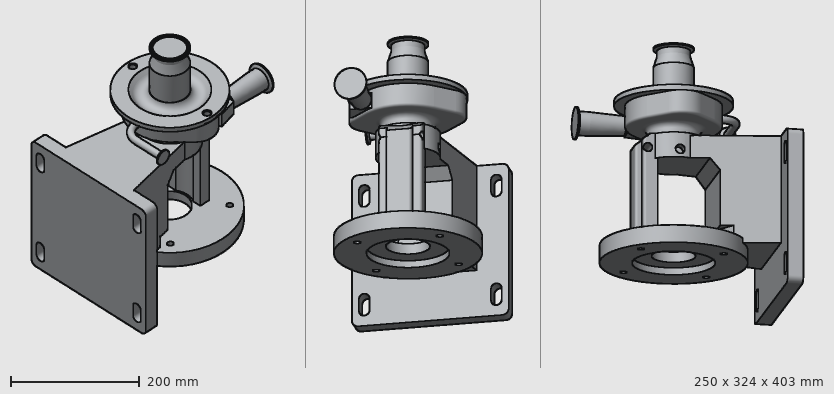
import cadquery as cq
import math

COS_45 = math.sqrt(0.5)


PLATE_SIZE = 250.0
PLATE_THICK = 25.0
PLATE_BACK_Y = -179.7
PLATE_FRONT_Y = PLATE_BACK_Y + PLATE_THICK
PLATE_CORNER_R = 10.0
SLOT_LENGTH = 36.0
SLOT_WIDTH = 17.0
SLOT_SPACING_X = 210.5
SLOT_SPACING_Z = 179.7

DISC_R = 115.3
DISC_Z = 56.0
DISC_TOP_Z = 84.2
DISC_BORE_R = 34.3
PILOT_R = 64.5
PILOT_DEPTH = 11.3
MOTOR_HOLE_R = 5.2
MOTOR_HOLE_OFFSET = 65.5

WEB_BOTTOM_Z = 77.0
WEB_WIDE_HALF = 74.0
WEB_SLOPE = 0.19
WEB_FACE_Y = -62.0
WEB_CHAMFER_Y = 15.7
WEB_CHAMFER_Z = 19.5
RELIEF_CORNER_Y = -83.0
RELIEF_TOP_Z = 104.8
RELIEF_ANGLE = 56.0

COLLAR_R = 50.5
COLLAR_Z = 213.5
COLLAR_TOP_Z = 253.5
COLLAR_HOLE_R = 7.3
COLLAR_HOLE_Z = 226.5
COLLAR_HOLE_DEPTH = 16.0

LEG_HALF_WIDTH = 34.5
LEG_FRONT_Y = 32.2
LEG_BACK_Y = 55.0
LEG_HOLLOW_R = 37.5
LEG_EDGE_R = 4.5
RIB_HALF_WIDTH = 20.0
RIB_BACK_Y = 65.3
LEG_SLOPE_START_Y = 44.5
LEG_SLOPE_END_Z = 237.8
LEG_HOLE_R = 7.0
LEG_HOLE_Y = 48.0
LEG_HOLE_Z = 231.0

CASING_Z = 272.5
CASING_R = 75.8
CASING_EDGE_R = 4.5
EAR_R = 35.5
FLANGE_R = 92.5
FLANGE_Z = 309.5
FLANGE_TOP_Z = 318.0
NECK_R = 42.0
NECK_FLARE_R = 9.0
EAR_HOLE_X = 81.0
EAR_HOLE_R = 5.5
EAR_HOLE_MOUTH_R = 7.3
EAR_HOLE_DEPTH = 20.0

RECESS_R = 64.5
RECESS_BEVEL = 7.3
INLET_R = 32.0

INLET_SHOULDER_Z = 371.5
INLET_NECK_Z = 389.0
INLET_NECK_R = 26.0
INLET_TOP_Z = 403.0
SEAL_GROOVE_INNER_R = 26.5
SEAL_GROOVE_OUTER_R = 29.0
SEAL_GROOVE_DEPTH = 1.2

RIM_EDGE = 2.5
RIM_BACK_ANGLE = 20.0

DISCHARGE_X = 59.0
DISCHARGE_Z = 290.5
DISCHARGE_R = 19.0
DISCHARGE_ROOT_R = 15.7
DISCHARGE_ROOT_Y = 66.0
DISCHARGE_ROOT_BEVEL = 4.0
DISCHARGE_TAPER_Y = 123.7
DISCHARGE_END_Y = 144.3
DISCHARGE_RIM_R = 25.5
HORN_CORNER_X = 78.5
HORN_END_Y = DISCHARGE_ROOT_Y - DISCHARGE_ROOT_BEVEL
HORN_FOOT_X = 87.0
HORN_FOOT_Y = 26.0
HORN_Z = 278.0

DRAIN_R = 6.5
DRAIN_BEND_R = 28.2
DRAIN_START_X = 1.2
DRAIN_Z = 293.8
DRAIN_END_X = 88.5
DRAIN_RIM_R = 13.0


def disc(radius, z_low, z_high):
    return cq.Workplane("XY").workplane(offset=z_low).circle(radius).extrude(z_high - z_low)


def ferrule(pipe_r, rim_r, length):
    """Pipe along +Z from the origin, ending in a rim with a sloping back."""
    rim_back = length - RIM_EDGE
    slope_height = (rim_r - pipe_r) * math.tan(math.radians(RIM_BACK_ANGLE))
    return (
        cq.Workplane("XZ")
        .moveTo(0, 0)
        .lineTo(pipe_r, 0)
        .lineTo(pipe_r, rim_back - slope_height)
        .lineTo(rim_r, rim_back)
        .lineTo(rim_r, length)
        .lineTo(0, length)
        .close()
        .revolve(360, (0, 0), (0, 1))
    )


def web_half_width(y):
    return WEB_WIDE_HALF - WEB_SLOPE * (y - PLATE_FRONT_Y)


def make_plate():
    plate = (
        cq.Workplane("XY")
        .box(PLATE_SIZE, PLATE_THICK, PLATE_SIZE, centered=(True, False, False))
        .translate((0, PLATE_BACK_Y, 0))
        .edges("|Y")
        .fillet(PLATE_CORNER_R)
    )
    slots = (
        cq.Workplane("XZ", origin=(0, PLATE_FRONT_Y, PLATE_SIZE / 2))
        .rarray(SLOT_SPACING_X, SLOT_SPACING_Z, 2, 2)
        .slot2D(SLOT_LENGTH, SLOT_WIDTH, 90)
        .extrude(PLATE_THICK)
    )
    return plate.cut(slots)


def make_web():
    root = web_half_width(PLATE_FRONT_Y)
    tip = web_half_width(0)
    plan = (
        cq.Workplane("XY")
        .workplane(offset=WEB_BOTTOM_Z)
        .polyline([(-root, PLATE_FRONT_Y), (root, PLATE_FRONT_Y), (tip, 0), (-tip, 0)])
        .close()
        .extrude(PLATE_SIZE - WEB_BOTTOM_Z)
    )
    side = (
        cq.Workplane("YZ")
        .moveTo(PLATE_FRONT_Y, WEB_BOTTOM_Z)
        .lineTo(WEB_FACE_Y, WEB_BOTTOM_Z)
        .lineTo(WEB_FACE_Y, COLLAR_Z - WEB_CHAMFER_Z)
        .lineTo(WEB_FACE_Y + WEB_CHAMFER_Y, COLLAR_Z)
        .lineTo(0, COLLAR_Z)
        .lineTo(0, PLATE_SIZE)
        .lineTo(PLATE_FRONT_Y, PLATE_SIZE)
        .close()
        .extrude(PLATE_SIZE / 2, both=True)
    )
    web = plan.intersect(side)

    corner_x = web_half_width(RELIEF_CORNER_Y)
    inner_x = corner_x - (WEB_FACE_Y - RELIEF_CORNER_Y) * math.tan(math.radians(RELIEF_ANGLE))
    relief = (
        cq.Workplane("XY")
        .workplane(offset=DISC_TOP_Z)
        .polyline([(corner_x, RELIEF_CORNER_Y), (corner_x, WEB_FACE_Y), (inner_x, WEB_FACE_Y)])
        .close()
        .extrude(RELIEF_TOP_Z - DISC_TOP_Z)
    )
    return web.cut(relief).cut(relief.mirror("YZ"))


def make_leg_block(half_width, back_y):
    """Upright from the motor disc to the collar top, with rounded rear edges."""
    height = COLLAR_TOP_Z - DISC_TOP_Z
    return (
        cq.Workplane("XY")
        .box(2 * half_width, back_y - LEG_FRONT_Y, height, centered=(True, False, False))
        .translate((0, LEG_FRONT_Y, DISC_TOP_Z))
        .edges("|Z and >Y")
        .fillet(LEG_EDGE_R)
    )


def make_leg():
    """Leg with a rear rib, hollowed toward the pump axis below the collar."""
    leg = make_leg_block(LEG_HALF_WIDTH, LEG_BACK_Y).union(make_leg_block(RIB_HALF_WIDTH, RIB_BACK_Y))
    sloped_top = (
        cq.Workplane("YZ")
        .polyline([
            (LEG_SLOPE_START_Y, COLLAR_TOP_Z),
            (RIB_BACK_Y, COLLAR_TOP_Z),
            (RIB_BACK_Y, LEG_SLOPE_END_Z),
        ])
        .close()
        .extrude(LEG_HALF_WIDTH, both=True)
    )
    hollow = disc(LEG_HOLLOW_R, DISC_TOP_Z, COLLAR_Z)
    return leg.cut(hollow).cut(sloped_top)


def make_bracket():
    cross_hole = (
        cq.Workplane("YZ", origin=(0, LEG_HOLE_Y, LEG_HOLE_Z))
        .circle(LEG_HOLE_R)
        .extrude(LEG_HALF_WIDTH, both=True)
    )
    collar_hole = (
        cq.Workplane("YZ", origin=(-COLLAR_R, 0, COLLAR_HOLE_Z))
        .circle(COLLAR_HOLE_R)
        .extrude(COLLAR_HOLE_DEPTH)
    )
    motor_holes = (
        cq.Workplane("XY")
        .workplane(offset=DISC_Z)
        .rarray(2 * MOTOR_HOLE_OFFSET, 2 * MOTOR_HOLE_OFFSET, 2, 2)
        .circle(MOTOR_HOLE_R)
        .extrude(DISC_TOP_Z - DISC_Z)
    )
    return (
        make_plate()
        .union(make_web())
        .union(disc(DISC_R, DISC_Z, DISC_TOP_Z))
        .union(disc(COLLAR_R, COLLAR_Z, COLLAR_TOP_Z))
        .union(make_leg())
        .cut(disc(DISC_BORE_R, DISC_Z, DISC_TOP_Z))
        .cut(disc(PILOT_R, DISC_Z, DISC_Z + PILOT_DEPTH))
        .cut(motor_holes)
        .cut(cross_hole)
        .cut(collar_hole)
    )


def make_casing_body():
    """Round casing joined to an ear on each side by flats at 45 degrees."""
    ear_x = FLANGE_R - EAR_R
    flat_x = ear_x + EAR_R * COS_45
    flat_y = EAR_R * COS_45
    round_xy = CASING_R * COS_45
    return (
        cq.Workplane("XY")
        .workplane(offset=CASING_Z)
        .moveTo(flat_x, -flat_y)
        .threePointArc((FLANGE_R, 0), (flat_x, flat_y))
        .lineTo(round_xy, round_xy)
        .threePointArc((0, CASING_R), (-round_xy, round_xy))
        .lineTo(-flat_x, flat_y)
        .threePointArc((-FLANGE_R, 0), (-flat_x, -flat_y))
        .lineTo(-round_xy, -round_xy)
        .threePointArc((0, -CASING_R), (round_xy, -round_xy))
        .close()
        .extrude(FLANGE_Z - CASING_Z)
        .faces("<Z")
        .edges()
        .fillet(CASING_EDGE_R)
    )


def make_neck():
    flare_z = CASING_Z - NECK_FLARE_R
    arc_offset = NECK_FLARE_R * COS_45
    flare_mid = (NECK_R + NECK_FLARE_R - arc_offset, flare_z + arc_offset)
    return (
        cq.Workplane("XZ")
        .moveTo(0, COLLAR_TOP_Z)
        .lineTo(NECK_R, COLLAR_TOP_Z)
        .lineTo(NECK_R, flare_z)
        .threePointArc(flare_mid, (NECK_R + NECK_FLARE_R, CASING_Z))
        .lineTo(0, CASING_Z)
        .close()
        .revolve(360, (0, 0), (0, 1))
    )


def make_recess():
    """45 degree bevel running into a round-bottomed trough that ends upright at the inlet."""
    bevel_r = RECESS_R - RECESS_BEVEL
    bevel_z = FLANGE_TOP_Z - RECESS_BEVEL
    trough_r = (bevel_r - INLET_R) / (1 + COS_45)
    trough_z = bevel_z + trough_r * COS_45
    trough_x = INLET_R + trough_r
    return (
        cq.Workplane("XZ")
        .moveTo(INLET_R, trough_z)
        .threePointArc((trough_x, trough_z - trough_r), (bevel_r, bevel_z))
        .lineTo(RECESS_R, FLANGE_TOP_Z)
        .lineTo(RECESS_R, trough_z)
        .close()
        .revolve(360, (0, 0), (0, 1))
    )


def make_inlet():
    cone = (
        cq.Workplane("XZ")
        .moveTo(0, FLANGE_Z)
        .lineTo(INLET_R, FLANGE_Z)
        .lineTo(INLET_R, INLET_SHOULDER_Z)
        .lineTo(INLET_NECK_R, INLET_NECK_Z)
        .lineTo(0, INLET_NECK_Z)
        .close()
        .revolve(360, (0, 0), (0, 1))
    )
    end = ferrule(INLET_NECK_R, INLET_R, INLET_TOP_Z - INLET_NECK_Z)
    groove = disc(SEAL_GROOVE_OUTER_R, INLET_TOP_Z - SEAL_GROOVE_DEPTH, INLET_TOP_Z).cut(
        disc(SEAL_GROOVE_INNER_R, INLET_TOP_Z - SEAL_GROOVE_DEPTH, INLET_TOP_Z)
    )
    return cone.union(end.translate((0, 0, INLET_NECK_Z))).cut(groove)


def make_ear_hole():
    """Blind hole with a bevelled mouth and a pointed end."""
    bevel = EAR_HOLE_MOUTH_R - EAR_HOLE_R
    return (
        cq.Workplane("XZ")
        .moveTo(0, FLANGE_TOP_Z)
        .lineTo(EAR_HOLE_MOUTH_R, FLANGE_TOP_Z)
        .lineTo(EAR_HOLE_R, FLANGE_TOP_Z - bevel)
        .lineTo(EAR_HOLE_R, FLANGE_TOP_Z - EAR_HOLE_DEPTH)
        .lineTo(0, FLANGE_TOP_Z - EAR_HOLE_DEPTH - EAR_HOLE_R)
        .close()
        .revolve(360, (0, 0), (0, 1))
    )


def make_discharge():
    taper_length = DISCHARGE_TAPER_Y - DISCHARGE_ROOT_Y
    taper = (
        cq.Workplane("XZ")
        .moveTo(0, -DISCHARGE_ROOT_BEVEL)
        .lineTo(DISCHARGE_ROOT_R - DISCHARGE_ROOT_BEVEL, -DISCHARGE_ROOT_BEVEL)
        .lineTo(DISCHARGE_ROOT_R, 0)
        .lineTo(DISCHARGE_R, taper_length)
        .lineTo(0, taper_length)
        .close()
        .revolve(360, (0, 0), (0, 1))
    )
    end = ferrule(DISCHARGE_R, DISCHARGE_RIM_R, DISCHARGE_END_Y - DISCHARGE_TAPER_Y)
    pipe = (
        taper
        .union(end.translate((0, 0, taper_length)))
        .rotate((0, 0, 0), (1, 0, 0), -90)
        .translate((DISCHARGE_X, DISCHARGE_ROOT_Y, DISCHARGE_Z))
    )
    horn = (
        cq.Workplane("XY")
        .workplane(offset=HORN_Z)
        .polyline([
            (0, 0),
            (HORN_FOOT_X, HORN_FOOT_Y),
            (HORN_CORNER_X, HORN_END_Y),
            (0, HORN_END_Y),
        ])
        .close()
        .extrude(2 * (DISCHARGE_Z - HORN_Z))
    )
    return pipe.union(horn)


def make_drain():
    """Pipe that leaves the casing toward -Y and bends round to +X."""
    bend_x = DRAIN_START_X + DRAIN_BEND_R
    run_y = -CASING_R - DRAIN_BEND_R
    arc_offset = DRAIN_BEND_R * COS_45
    path = (
        cq.Workplane("XY", origin=(0, 0, DRAIN_Z))
        .moveTo(DRAIN_START_X, 0)
        .lineTo(DRAIN_START_X, -CASING_R)
        .threePointArc((bend_x - arc_offset, -CASING_R - arc_offset), (bend_x, run_y))
    )
    bend = (
        cq.Workplane("XZ", origin=(DRAIN_START_X, 0, DRAIN_Z))
        .circle(DRAIN_R)
        .sweep(path)
    )
    run = (
        ferrule(DRAIN_R, DRAIN_RIM_R, DRAIN_END_X - bend_x)
        .rotate((0, 0, 0), (0, 1, 0), 90)
        .translate((bend_x, run_y, DRAIN_Z))
    )
    return bend.union(run)


def make_pump():
    pump = (
        make_casing_body()
        .union(make_discharge())
        .union(make_drain())
        .union(disc(FLANGE_R, FLANGE_Z, FLANGE_TOP_Z))
        .union(make_neck())
        .union(make_inlet())
        .cut(make_recess())
    )
    for side in (-1, 1):
        pump = pump.cut(make_ear_hole().translate((side * EAR_HOLE_X, 0, 0)))
    return pump


result = make_bracket().union(make_pump())